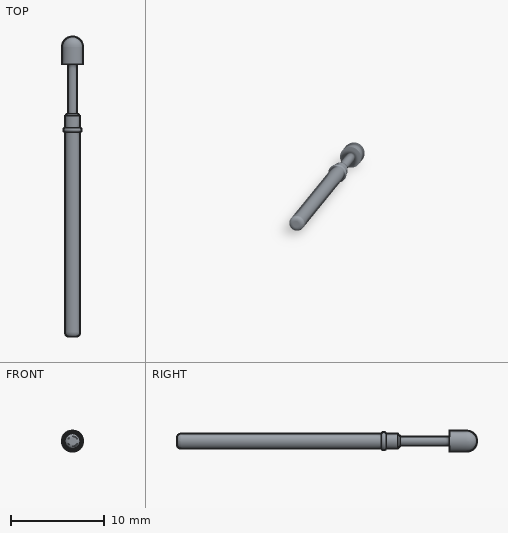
import cadquery as cq
import math


TOTAL_LENGTH = 32.3
HEAD_DIAMETER = 2.3
HEAD_LENGTH = 3.0

PLUNGER_DIAMETER = 1.0
PLUNGER_LENGTH = 5.3

BARREL_DIAMETER = 1.65
MOUTH_DIAMETER = 1.15
MOUTH_TAPER_LENGTH = 0.25
END_ROUNDING = 0.45

RING_DIAMETER = 2.0
RING_WIDTH = 0.5
RING_TO_MOUTH = 1.75

head_radius = HEAD_DIAMETER / 2
plunger_radius = PLUNGER_DIAMETER / 2
barrel_radius = BARREL_DIAMETER / 2
mouth_radius = MOUTH_DIAMETER / 2
ring_radius = RING_DIAMETER / 2

head_base_y = TOTAL_LENGTH - HEAD_LENGTH
dome_base_y = TOTAL_LENGTH - head_radius
mouth_y = head_base_y - PLUNGER_LENGTH
taper_base_y = mouth_y - MOUTH_TAPER_LENGTH
ring_y = mouth_y - RING_TO_MOUTH
ring_start_y = ring_y - RING_WIDTH / 2
ring_end_y = ring_y + RING_WIDTH / 2

DIAGONAL = math.sqrt(0.5)


def probe_profile():
    """Closed half section in the XY plane, from the barrel end to the dome tip."""
    rounding_mid = (
        barrel_radius - END_ROUNDING * (1 - DIAGONAL),
        END_ROUNDING * (1 - DIAGONAL),
    )
    dome_mid = (head_radius * DIAGONAL, dome_base_y + head_radius * DIAGONAL)
    return (
        cq.Workplane("XY")
        .moveTo(0, 0)
        .lineTo(barrel_radius - END_ROUNDING, 0)
        .threePointArc(rounding_mid, (barrel_radius, END_ROUNDING))
        .lineTo(barrel_radius, ring_start_y)
        .threePointArc((ring_radius, ring_y), (barrel_radius, ring_end_y))
        .lineTo(barrel_radius, taper_base_y)
        .lineTo(mouth_radius, mouth_y)
        .lineTo(plunger_radius, mouth_y)
        .lineTo(plunger_radius, head_base_y)
        .lineTo(head_radius, head_base_y)
        .lineTo(head_radius, dome_base_y)
        .threePointArc(dome_mid, (0, TOTAL_LENGTH))
        .close()
    )


result = probe_profile().revolve(360, (0, 0, 0), (0, 1, 0))